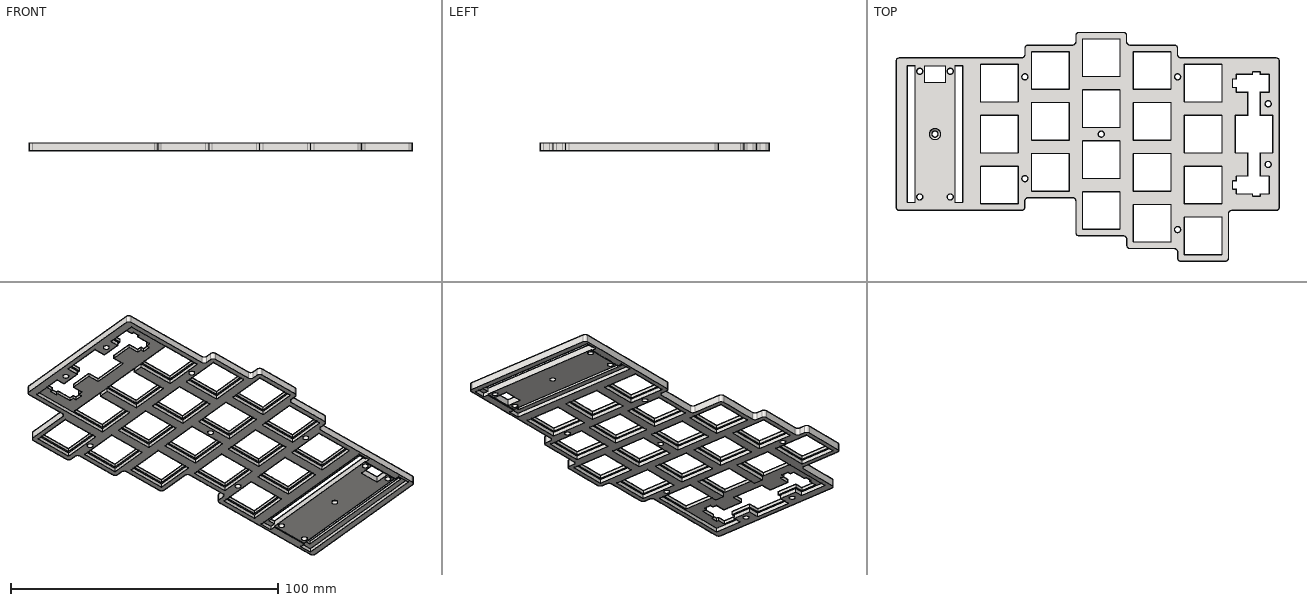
import cadquery as cq

KEY_PITCH = 19.05
PLATE_THICKNESS = 3.0
PLATE_WIDTH = 143.45
COLUMN_STAGGER = KEY_PITCH / 4
CORNER_RADIUS = 1.25

SWITCH_OPENING = 14.0
LIP_THICKNESS = 1.4
RECESS_HEIGHT = PLATE_THICKNESS - LIP_THICKNESS
RECESS_MARGIN = 0.6

COLUMNS = [(0, 3), (1, 3), (2, 4), (1, 4), (0, 4)]
SIDE_BLOCK_ROWS = 3
HIGHEST_STEP = max(step for step, _ in COLUMNS)
LOWEST_DROP = max(rows * KEY_PITCH - step * COLUMN_STAGGER for step, rows in COLUMNS)

PLATE_DEPTH = LOWEST_DROP + HIGHEST_STEP * COLUMN_STAGGER
RIGHT = PLATE_WIDTH / 2
LEFT = -RIGHT
SIDE_TOP = PLATE_DEPTH / 2 - HIGHEST_STEP * COLUMN_STAGGER
SIDE_BOTTOM = SIDE_TOP - SIDE_BLOCK_ROWS * KEY_PITCH
SIDE_MIDDLE = (SIDE_TOP + SIDE_BOTTOM) / 2
COLUMNS_RIGHT = RIGHT - KEY_PITCH
COLUMNS_LEFT = COLUMNS_RIGHT - len(COLUMNS) * KEY_PITCH

BAY_X = (LEFT + COLUMNS_LEFT) / 2
PIN_ROW_SPACING = 17.78
PIN_SLOT_WIDTH = 2.8
PIN_SLOT_LENGTH = 51.1
PIN_RELIEF_MARGIN = 2.0
BOARD_POCKET_DEPTH = 0.4
CONTROLLER_HOLE_SPACING_X = 11.4
CONTROLLER_HOLE_SPACING_Y = 47.0
CONTROLLER_HOLE_DIAMETER = 2.2
WINDOW_WIDTH = 7.8
WINDOW_DEPTH = 6.0
WINDOW_OFFSET_Y = 22.4
COUNTERSINK_HOLE_DIAMETER = 2.2
COUNTERSINK_DIAMETER = 4.2

STABILIZER_X = RIGHT - KEY_PITCH / 2
STABILIZER_REACH = KEY_PITCH
STABILIZER_LENGTH = 6.65
STABILIZER_LEFT = -6.6
STABILIZER_RIGHT = 5.7
WIRE_CHANNEL_WIDTH = 4.6
WIRE_NOTCH_LEFT = -7.97
WIRE_NOTCH_WIDTH = 3.05
SIDE_NOTCH_DEPTH = 0.87
SIDE_NOTCH_WIDTH = 2.8
SIDE_NOTCH_X = 0.9

MOUNT_HOLE_DIAMETER = 2.2
RIGHT_MOUNT_OFFSET_X = 5.3
RIGHT_MOUNT_OFFSET_Y = 11.35


def block(x_min, x_max, y_min, y_max, height=PLATE_THICKNESS):
    """Box given by its limits in X and Y, rising from the underside."""
    size = (x_max - x_min, y_max - y_min, height)
    return cq.Workplane("XY").box(*size, centered=False).translate((x_min, y_min, 0))


def centered_block(x, y, width, depth, height=PLATE_THICKNESS):
    """Box centred on (x, y), rising from the underside."""
    return block(x - width / 2, x + width / 2, y - depth / 2, y + depth / 2, height)


def column_left(column):
    return COLUMNS_LEFT + column * KEY_PITCH


def column_top(column):
    return SIDE_TOP + COLUMNS[column][0] * COLUMN_STAGGER


def key_center(column, row):
    x = column_left(column) + KEY_PITCH / 2
    y = column_top(column) - (row + 0.5) * KEY_PITCH
    return x, y


def plate_blank():
    """Side blocks and staggered key columns in one piece, with rounded vertical corners."""
    blank = block(LEFT, COLUMNS_LEFT, SIDE_BOTTOM, SIDE_TOP)
    blank = blank.union(block(COLUMNS_RIGHT, RIGHT, SIDE_BOTTOM, SIDE_TOP))
    for column, (_, rows) in enumerate(COLUMNS):
        left = column_left(column)
        top = column_top(column)
        blank = blank.union(block(left, left + KEY_PITCH, top - rows * KEY_PITCH, top))
    return blank.clean().edges("|Z").fillet(CORNER_RADIUS)


def switch_cutter(x, y):
    """Square opening, wider on all sides below the lip where the switch clips catch."""
    opening = centered_block(x, y, SWITCH_OPENING, SWITCH_OPENING)
    recess_width = SWITCH_OPENING + 2 * RECESS_MARGIN
    recess = centered_block(x, y, recess_width, recess_width, RECESS_HEIGHT)
    return opening.union(recess)


def cut_switches(plate):
    for column, (_, rows) in enumerate(COLUMNS):
        for row in range(rows):
            plate = plate.cut(switch_cutter(*key_center(column, row)))
    return plate


def drill(plate, points, diameter):
    """Plain through holes."""
    cutter = cq.Workplane("XY").pushPoints(points).circle(diameter / 2).extrude(PLATE_THICKNESS)
    return plate.cut(cutter)


def countersunk_cutter(top_plane):
    """Through hole with a 90 degree conical mouth in the top face."""
    hole = top_plane.circle(COUNTERSINK_HOLE_DIAMETER / 2).extrude(-PLATE_THICKNESS)
    cone_depth = (COUNTERSINK_DIAMETER - COUNTERSINK_HOLE_DIAMETER) / 2
    cone = (
        top_plane.circle(COUNTERSINK_DIAMETER / 2)
        .workplane(offset=-cone_depth)
        .circle(COUNTERSINK_HOLE_DIAMETER / 2)
        .loft()
    )
    return hole.union(cone)


def cut_pin_slots(plate):
    """Two slots for the pin rows, relieved outward and past their ends on the underside."""
    relief_width = PIN_SLOT_WIDTH + PIN_RELIEF_MARGIN
    relief_length = PIN_SLOT_LENGTH + 2 * PIN_RELIEF_MARGIN
    for side in (-1, 1):
        slot_x = BAY_X + side * PIN_ROW_SPACING / 2
        relief_x = slot_x + side * PIN_RELIEF_MARGIN / 2
        plate = plate.cut(centered_block(slot_x, SIDE_MIDDLE, PIN_SLOT_WIDTH, PIN_SLOT_LENGTH))
        plate = plate.cut(centered_block(relief_x, SIDE_MIDDLE, relief_width, relief_length, RECESS_HEIGHT))
    return plate


def cut_controller_bay(plate):
    """Shallow board pocket below, window, corner holes and a central countersunk hole."""
    board_pocket = centered_block(BAY_X, SIDE_MIDDLE, PIN_ROW_SPACING, PIN_SLOT_LENGTH, BOARD_POCKET_DEPTH)
    plate = plate.cut(board_pocket)
    window_y = SIDE_MIDDLE + WINDOW_OFFSET_Y
    plate = plate.cut(centered_block(BAY_X, window_y, WINDOW_WIDTH, WINDOW_DEPTH))
    corner_holes = [
        (BAY_X + side * CONTROLLER_HOLE_SPACING_X / 2, SIDE_MIDDLE + end * CONTROLLER_HOLE_SPACING_Y / 2)
        for side in (-1, 1)
        for end in (-1, 1)
    ]
    plate = drill(plate, corner_holes, CONTROLLER_HOLE_DIAMETER)
    top_plane = cq.Workplane("XY", origin=(BAY_X, SIDE_MIDDLE, PLATE_THICKNESS))
    return plate.cut(countersunk_cutter(top_plane))


def cut_stabilized_key(plate):
    """Switch opening, wire channel and the two mirrored stabilizer housings."""
    x = STABILIZER_X
    half_length = STABILIZER_LENGTH / 2
    half_notch = WIRE_NOTCH_WIDTH / 2
    side_notch_x = x + SIDE_NOTCH_X
    side_notch_length = half_length + SIDE_NOTCH_DEPTH
    plate = plate.cut(switch_cutter(x, SIDE_MIDDLE))
    plate = plate.cut(centered_block(x, SIDE_MIDDLE, WIRE_CHANNEL_WIDTH, 2 * STABILIZER_REACH))
    for end in (-1, 1):
        y = SIDE_MIDDLE + end * STABILIZER_REACH
        side_notch_y = y + end * side_notch_length / 2
        plate = plate.cut(block(x + STABILIZER_LEFT, x + STABILIZER_RIGHT, y - half_length, y + half_length))
        plate = plate.cut(block(x + WIRE_NOTCH_LEFT, x, y - half_notch, y + half_notch))
        plate = plate.cut(centered_block(side_notch_x, side_notch_y, SIDE_NOTCH_WIDTH, side_notch_length))
    return plate


def recess_stabilized_key(plate):
    """Underside recess around the stabilizer, open to the recesses of the last key column."""
    x = STABILIZER_X
    left = COLUMNS_RIGHT - (KEY_PITCH - SWITCH_OPENING) / 2
    channel_right = x + WIRE_CHANNEL_WIDTH / 2 + RECESS_MARGIN
    reach = STABILIZER_REACH + SWITCH_OPENING / 2 + RECESS_MARGIN
    bottom = SIDE_MIDDLE - reach
    top = SIDE_MIDDLE + reach
    plate = plate.cut(block(left, channel_right, bottom, top, RECESS_HEIGHT))
    housing_right = x + STABILIZER_RIGHT + RECESS_MARGIN
    housing_inner = STABILIZER_REACH - STABILIZER_LENGTH / 2 - RECESS_MARGIN
    plate = plate.cut(block(x, housing_right, SIDE_MIDDLE + housing_inner, top, RECESS_HEIGHT))
    return plate.cut(block(x, housing_right, bottom, SIDE_MIDDLE - housing_inner, RECESS_HEIGHT))


def between_keys(column, row):
    """Point on the seam to the next column, halfway in Y between the two keys of that row."""
    x, y = key_center(column, row)
    next_x, next_y = key_center(column + 1, row)
    return (x + next_x) / 2, (y + next_y) / 2


def mount_points():
    middle_x, _ = key_center(2, 0)
    points = [between_keys(0, 0), between_keys(0, 2), between_keys(3, 0), between_keys(3, 3)]
    points.append((middle_x, SIDE_MIDDLE))
    for end in (-1, 1):
        points.append((STABILIZER_X + RIGHT_MOUNT_OFFSET_X, SIDE_MIDDLE + end * RIGHT_MOUNT_OFFSET_Y))
    return points


plate = plate_blank()
plate = cut_switches(plate)
plate = cut_pin_slots(plate)
plate = cut_controller_bay(plate)
plate = cut_stabilized_key(plate)
plate = recess_stabilized_key(plate)
result = drill(plate, mount_points(), MOUNT_HOLE_DIAMETER)